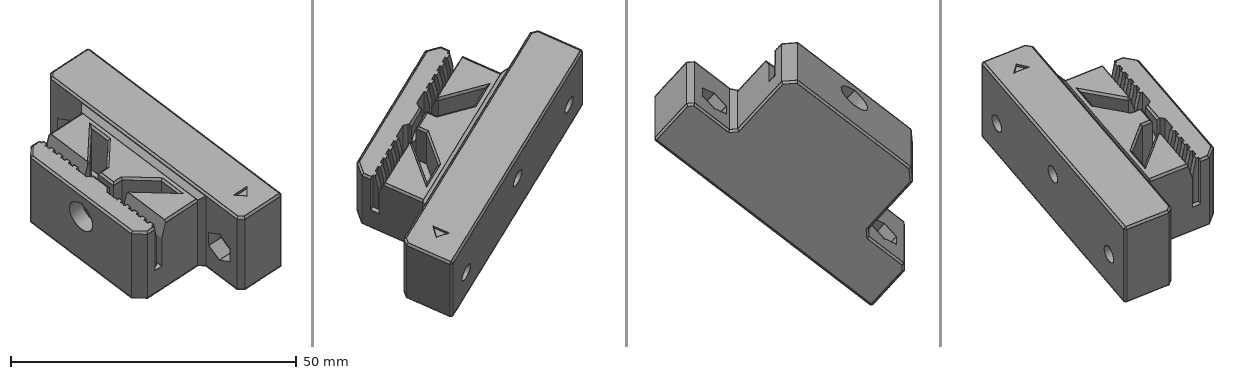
import cadquery as cq
import math

EDGE = 0.4

BAR_LENGTH = 50
BAR_FRONT = 15
BAR_BACK = 25
BAR_HEIGHT = 18
BAR_CORNER = 1

BLOCK_WIDTH = 30
BLOCK_HEIGHT = 16.5
BLOCK_CORNER = 2

GUSSET = 1

SLOT_FLOOR = 6
SLOT_FRONT = 3.75
SLOT_BACK = 5.4

TOOTH_COUNT = 5
TOOTH_PITCH = 2
TOOTH_WIDTH = 0.95
TOOTH_TIP = 4.85
FIRST_TOOTH = 5.25

FUNNEL_START = 12.85
FUNNEL_FRONT = 4.2
FUNNEL_BACK = 6.4

POST_HALF_WIDTH = 2
POST_FRONT = 5.9
POST_SHOULDER = 8
CHANNEL_WIDTH = 3
CHANNEL_BACK = 12.85

JAW_PAD_TIP = 5
JAW_PAD_FLARE = 0.65

HOLE_RADIUS = 1.65
CLAMP_HOLE_Z = 11
COUNTERBORE_RADIUS = 3
COUNTERBORE_DEPTH = 3
PEAK_RATIO = 1.1

MOUNT_HOLE_X = 19.5
MOUNT_HOLE_Z = 7.5
NUT_ACROSS_FLATS = 5.5
NUT_DEPTH = 3

ARROW_X = 19.5
ARROW_LENGTH = 1.75
ARROW_HALF_WIDTH = 1.55
ARROW_DEPTH = 0.5

BAR_MIDDLE = (BAR_FRONT + BAR_BACK) / 2


def box_between(x0, x1, y0, y1, z0, z1):
    return cq.Workplane("XY").box(x1 - x0, y1 - y0, z1 - z0, centered=False).translate((x0, y0, z0))


def mirrored(half):
    """Join a body with its mirror image across X = 0."""
    return half.union(half.mirror("YZ"))


def make_bar():
    half = BAR_LENGTH / 2
    bar = box_between(-half, half, BAR_FRONT, BAR_BACK, 0, BAR_HEIGHT)
    bar = bar.edges("|Z and <Y").chamfer(BAR_CORNER)
    return bar.faces(">Y or >Z").edges().chamfer(EDGE)


def make_channels():
    """Two belt channels that run back beside the post and then outwards at 45 degrees."""
    outer = POST_HALF_WIDTH + CHANNEL_WIDTH
    outer_bend = POST_SHOULDER + CHANNEL_WIDTH - CHANNEL_WIDTH * math.sqrt(2)
    right_side = [
        (POST_HALF_WIDTH, POST_FRONT),
        (POST_HALF_WIDTH, POST_SHOULDER),
        (POST_HALF_WIDTH + CHANNEL_BACK - POST_SHOULDER, CHANNEL_BACK),
        (outer + CHANNEL_BACK - outer_bend, CHANNEL_BACK),
        (outer, outer_bend),
        (outer, SLOT_BACK),
    ]
    left_side = [(-x, y) for x, y in reversed(right_side)]
    outline = right_side + left_side

    plane = cq.Workplane("XY", origin=(0, 0, SLOT_FLOOR))
    return plane.polyline(outline).close().extrude(BLOCK_HEIGHT - SLOT_FLOOR)


def make_block():
    """Clamp block with the channels cut in and every top edge broken, rims included."""
    half = BLOCK_WIDTH / 2
    block = box_between(-half, half, 0, BAR_FRONT + EDGE, 0, BLOCK_HEIGHT)
    block = block.edges("|Z and <Y").chamfer(BLOCK_CORNER)
    block = block.cut(make_channels())
    return block.faces(">Z").edges("not >Y").chamfer(EDGE)


def make_gusset():
    def section(y, grow):
        width = BLOCK_WIDTH + 2 * grow
        height = BLOCK_HEIGHT + grow
        return cq.Wire.makePolygon(
            [
                cq.Vector(-width / 2, y, 0),
                cq.Vector(width / 2, y, 0),
                cq.Vector(width / 2, y, height),
                cq.Vector(-width / 2, y, height),
            ],
            close=True,
        )

    sections = [section(BAR_FRONT - GUSSET, 0), section(BAR_FRONT, GUSSET)]
    return cq.Workplane(cq.Solid.makeLoft(sections, True))


def make_teeth():
    teeth = cq.Workplane("XY")
    for index in range(TOOTH_COUNT):
        x = FIRST_TOOTH + index * TOOTH_PITCH
        tooth = box_between(x, x + TOOTH_WIDTH, SLOT_FRONT, TOOTH_TIP, SLOT_FLOOR, BLOCK_HEIGHT)
        teeth = teeth.union(tooth)
    return mirrored(teeth)


def make_jaw_pad():
    foot = POST_HALF_WIDTH + JAW_PAD_FLARE
    flare_end = SLOT_FRONT + JAW_PAD_FLARE
    pad = (
        cq.Workplane("XY", origin=(0, 0, SLOT_FLOOR))
        .polyline(
            [
                (-foot, SLOT_FRONT),
                (foot, SLOT_FRONT),
                (POST_HALF_WIDTH, flare_end),
                (POST_HALF_WIDTH, JAW_PAD_TIP),
                (-POST_HALF_WIDTH, JAW_PAD_TIP),
                (-POST_HALF_WIDTH, flare_end),
            ]
        )
        .close()
        .extrude(BLOCK_HEIGHT - SLOT_FLOOR)
    )
    return pad.edges(">Y and >Z").chamfer(EDGE)


def make_slot():
    half = BLOCK_WIDTH / 2
    slot = box_between(-half, half, SLOT_FRONT, SLOT_BACK, SLOT_FLOOR, BLOCK_HEIGHT)
    return slot.cut(make_teeth()).cut(make_jaw_pad())


def make_funnel():
    inner = POST_HALF_WIDTH + CHANNEL_WIDTH
    funnel = (
        cq.Workplane("YZ", origin=(inner, 0, 0))
        .polyline(
            [
                (TOOTH_TIP, FUNNEL_START),
                (SLOT_BACK, FUNNEL_START),
                (FUNNEL_BACK, BLOCK_HEIGHT),
                (FUNNEL_FRONT, BLOCK_HEIGHT),
            ]
        )
        .close()
        .extrude(BLOCK_WIDTH / 2 - inner)
    )
    return mirrored(funnel)


def peaked_hole(radius, x, z, depth):
    """Hole running back from the front, with a small pointed peak on top."""
    tip = radius * PEAK_RATIO
    tangent_z = radius / PEAK_RATIO
    tangent_x = math.sqrt(radius ** 2 - tangent_z ** 2)
    return (
        cq.Workplane("XZ", origin=(x, 0, z))
        .moveTo(tangent_x, tangent_z)
        .threePointArc((0, -radius), (-tangent_x, tangent_z))
        .lineTo(0, tip)
        .close()
        .extrude(-depth)
    )


def make_clamp_hole():
    hole = peaked_hole(HOLE_RADIUS, 0, CLAMP_HOLE_Z, BAR_BACK)
    return hole.union(peaked_hole(COUNTERBORE_RADIUS, 0, CLAMP_HOLE_Z, COUNTERBORE_DEPTH))


def make_mount_holes():
    nut_diameter = NUT_ACROSS_FLATS / math.cos(math.pi / 6)
    nut = (
        cq.Workplane("XZ", origin=(MOUNT_HOLE_X, BAR_FRONT, MOUNT_HOLE_Z))
        .transformed(rotate=(0, 0, 30))
        .polygon(6, nut_diameter)
        .extrude(-NUT_DEPTH)
    )
    return mirrored(peaked_hole(HOLE_RADIUS, MOUNT_HOLE_X, MOUNT_HOLE_Z, BAR_BACK).union(nut))


def make_arrow():
    return (
        cq.Workplane("XY", origin=(ARROW_X, BAR_MIDDLE, BAR_HEIGHT))
        .polyline([(0, -ARROW_HALF_WIDTH), (ARROW_LENGTH, 0), (0, ARROW_HALF_WIDTH)])
        .close()
        .extrude(-ARROW_DEPTH)
    )


body = make_bar().union(make_block()).union(make_gusset())
body = body.faces("<Z").edges("not >Y").chamfer(EDGE)

body = body.cut(make_slot()).cut(make_funnel())
result = body.cut(make_clamp_hole()).cut(make_mount_holes()).cut(make_arrow())